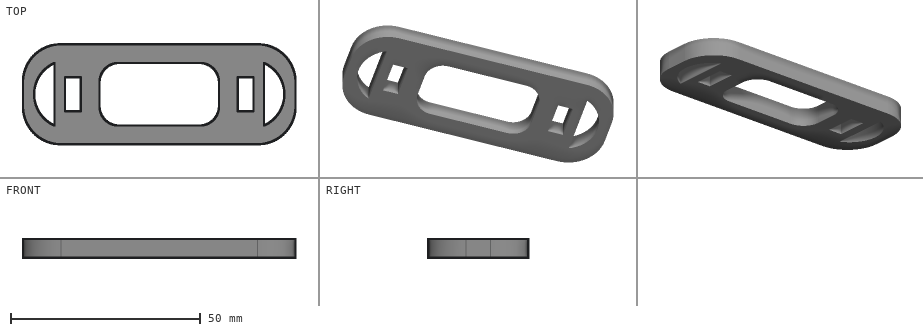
import cadquery as cq
import math

plate_length = 71.87
plate_width = 26.42
plate_thickness = 5.0
plate_corner_radius = 10.0

long_edge_rim = 5.0
window_length = 31.4
window_width = plate_width - 2 * long_edge_rim
window_corner_radius = 5.0

slot_length = 4.1
slot_width = 8.9
slot_center_x = 22.75

end_rim = 3.0
d_arc_radius = 9.0
d_chord_x = 27.6
d_apex_x = plate_length / 2 - end_rim
d_arc_center_x = d_apex_x - d_arc_radius
d_chord_half = math.sqrt(d_arc_radius**2 - (d_chord_x - d_arc_center_x) ** 2)


def rounded_block(length, width, corner_radius):
    """Full-thickness block centred on the plate, with rounded vertical edges."""
    block = cq.Workplane("XY").box(length, width, plate_thickness)
    return block.edges("|Z").fillet(corner_radius)


def slot(side):
    """Rectangular through slot; side is -1 or +1 along X."""
    block = cq.Workplane("XY").box(slot_length, slot_width, plate_thickness)
    return block.translate((side * slot_center_x, 0, 0))


def d_opening(side):
    """D-shaped through opening with its arc facing the plate end."""
    return (
        cq.Workplane("XY")
        .moveTo(side * d_chord_x, -d_chord_half)
        .threePointArc((side * d_apex_x, 0), (side * d_chord_x, d_chord_half))
        .close()
        .extrude(plate_thickness / 2, both=True)
    )


plate = rounded_block(plate_length, plate_width, plate_corner_radius)
plate = plate.cut(rounded_block(window_length, window_width, window_corner_radius))
for side in (-1, 1):
    plate = plate.cut(slot(side)).cut(d_opening(side))

result = plate